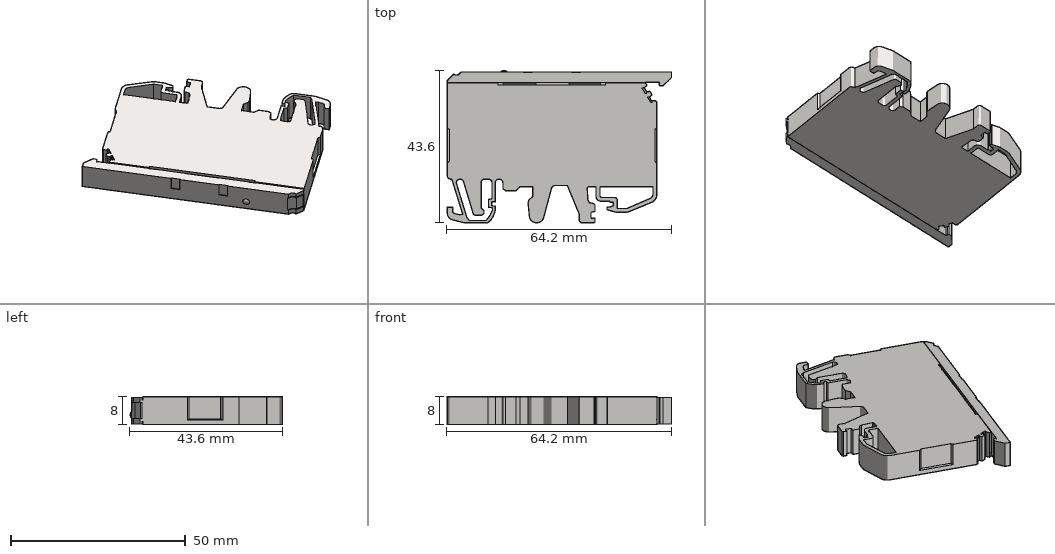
import cadquery as cq


body_length = 60.0
body_width = 8.0
body_top = 40.0
latch_start = 56.8
web_top = 12.5
window_top = 10.35
rail_top = 10.7

cover_length = 64.18
cover_bottom = 40.2
cover_top = 43.2
cover_inset = 0.2
seam_depth = 0.9

overall_height = 43.62
button_x = 16.3
button_z = 2.85
button_radius = 1.0


def draw(start, *steps):
    """Closed outline; a step is a point, or a (middle, end) pair of points for an arc."""
    outline = cq.Workplane("XY").moveTo(*start)
    for step in steps:
        if isinstance(step[0], tuple):
            outline = outline.threePointArc(*step)
        else:
            outline = outline.lineTo(*step)
    return outline.close()


def prism(outline, z_low, z_high):
    """Extrude an outline between two heights."""
    return outline.extrude(z_high - z_low).translate((0, 0, z_low))


def block(x_low, x_high, y_low, y_high, z_low, z_high):
    """Axis-aligned box given by its limits."""
    size = (x_high - x_low, y_high - y_low, z_high - z_low)
    return cq.Workplane("XY").box(*size, centered=False).translate((x_low, y_low, z_low))


def make_body():
    """Full-width body outline, followed counter-clockwise from the upper left corner."""
    left_hook = [
        (0, 13.55), ((0.31, 12.81), (1.05, web_top)), (1.3, web_top),
        (4.4, 2.5), (3.6, 2.4), (2.3, 2.65), (1.65, 3.0), (1.6, 4.4), (1.45, 4.55),
        (0, 4.55), (0, 2.8), ((0.46, 1.56), (1.6, 0.85)), (4.9, 0), (11.35, 0),
        (11.72, 0.08), ((12.95, 1.5), (13.75, 3.5)),
        (13.75, 4.85), (12.75, 4.95), (12.75, 6.0), (13.75, 6.0),
    ]
    middle_slot_and_pad = [
        (13.75, 11.4), ((14.82, web_top), (15.9, 11.4)), (15.9, 9.75),
        (16.75, 9.2), (19.65, 9.2), (20.85, window_top), (24.45, window_top),
    ]
    round_leg = [
        (24.45, 7.6), (23.3, 6.5), (23.1, 5.7), (23.5, 1.7),
        ((25.6, 0.01), (27.6, 1.4)), (29.9, 10.0), ((30.3, 10.5), (31.0, rail_top)),
    ]
    notched_leg = [
        (34.35, rail_top), (37.75, 2.5), (37.75, 0.8), ((38.0, 0.25), (38.65, 0)),
        (41.95, 0), (42.3, 0.3),
        (42.3, 1.35), (41.15, 1.35), (41.15, 3.05), (42.3, 3.25), (42.3, 5.15),
        (41.85, 5.6), (40.7, 5.85), (40.3, 6.5), (40.1, 10.0), (40.4, window_top),
    ]
    right_hook = [
        (42.55, window_top), (42.55, 7.6), ((42.95, 6.65), (44.1, 6.2)), (46.5, 6.2),
        (46.55, 5.85), (47.5, 5.95), (47.5, 5.0), (47.1, 4.75), (45.7, 4.5), (45.7, 3.85),
        (45.9, 3.7), (48.4, 3.0), (50.9, 3.0), ((51.5, 3.06), (52.05, 3.2)), (58.3, 5.8),
        ((59.52, 6.68), (body_length, 8.1)),
    ]
    latch_corner = [
        (body_length, 34.6), (59.6, 35.0), (58.4, 35.0), (57.95, 36.0), (58.6, 36.65),
        (58.2, 37.4), (57.9, 37.75), (57.55, 37.55), (57.05, 37.6), (56.4, 38.65),
        (57.2, 39.35), (latch_start, body_top),
    ]
    steps = left_hook + middle_slot_and_pad + round_leg + notched_leg + right_hook + latch_corner
    return prism(draw((0, body_top), *steps), 0, body_width)


def left_foot_window():
    """Opening behind the spring arm of the left foot, around its central tongue."""
    return draw(
        (2.65, 11.45), ((3.6, web_top), (4.65, 11.8)),
        (7.4, 2.7), ((7.65, 2.3), (8.05, 2.15)), (9.5, 2.15), ((10.2, 2.4), (10.6, 2.95)),
        (10.6, 3.4), (9.75, 4.35), (9.75, 11.55), ((10.0, 12.25), (10.7, web_top)),
        (11.9, web_top), ((12.5, 12.25), (12.75, 11.8)), (12.75, 6.95), (11.75, 6.75),
        (11.75, 4.5), (12.9, 4.3), (12.9, 3.6), (12.1, 2.0), (11.15, 0.77), (6.3, 0.77), (5.65, 1.6),
    )


def right_foot_window():
    """Opening enclosed by the wall of the right foot."""
    return draw(
        (43.75, window_top), (58.85, window_top), (58.85, 8.1), ((58.6, 7.5), (57.85, 6.95)),
        (51.35, 4.15), (48.7, 4.15), (48.7, 6.6), ((48.4, 7.1), (47.8, 7.35)),
        (44.05, 7.35), (43.75, 7.65),
    )


def side_recess():
    """Tapered recess in the -X end, open towards +Z."""
    depth = 0.6
    outer_low, outer_high = 17.1, 27.2
    inner_low, inner_high = 17.7, 26.8
    outer_floor = 1.4
    inner_floor = 1.6
    mouth = [
        (outer_low, outer_floor), (outer_high, outer_floor),
        (outer_high, body_width), (outer_low, body_width),
    ]
    back = [
        (inner_low, inner_floor), (inner_high, inner_floor),
        (inner_high, body_width), (inner_low, body_width),
    ]
    sections = cq.Workplane("YZ").polyline(mouth).close()
    sections = sections.workplane(offset=depth).polyline(back).close()
    return sections.loft(ruled=True)


def latch_notch(x, y):
    """Slanted step in the +Z face at the latch corner, with its upper end at (x, y)."""
    depth = 0.5
    outline = draw((x, y), (x + 0.95, y - 1.6), (x + 1.3, y - 1.6), (x + 1.3, y - 0.9), (x + 0.6, y + 0.05))
    return prism(outline, body_width - depth, body_width)


def cover_pocket():
    """Narrow pocket along the cover seam whose floor drops steeply in two spans."""
    y_low = 39.5
    ledge_z = body_width - seam_depth
    drop = 2.0
    pocket = block(14.5, 45.3, y_low, body_top, ledge_z, body_width)
    for x_low, x_high in ((16.0, 25.4), (34.8, 43.9)):
        wedge = (
            cq.Workplane("YZ", origin=(x_low, 0, 0))
            .polyline([(y_low, ledge_z), (body_top, ledge_z), (y_low, ledge_z - drop)])
            .close()
            .extrude(x_high - x_low)
        )
        pocket = pocket.union(wedge)
    return pocket


def cover_end_edge(setback):
    """Sloping, grooved -X end of the cover from bottom to top, set back into the cover."""
    groove_middle = (2.65, 42.35 - setback)
    groove_end = (3.4, 42.65 - setback)
    return [
        (setback, cover_bottom), (setback, 40.8 - setback), (1.85, 42.65 - 2 * setback),
        (groove_middle, groove_end), (3.95 + setback, cover_top),
    ]


def make_cover():
    """Cover strip with a latch nose overhanging the +X end of the body."""
    latch_end = [
        (cover_length, cover_top), (cover_length, 41.6), (61.8, 39.25), (60.9, 39.25),
        (60.6, 39.5), (60.6, cover_bottom),
    ]
    edge = cover_end_edge(0)
    outline = draw(edge[0], *edge[1:], *latch_end)
    return prism(outline, cover_inset, body_width - cover_inset)


def seam_web():
    """Recessed web that joins the cover to the body."""
    return block(0, latch_start, body_top, cover_bottom, seam_depth, body_width - seam_depth)


def cover_end_recess():
    """Shallow recess in the middle of the sloping -X end of the cover."""
    z_low, z_high = 1.8, 6.3
    depth = 0.2
    outline = draw((0, cover_bottom), *cover_end_edge(depth), (0, cover_top))
    return prism(outline, z_low, z_high)


def label_notch(x_low):
    """Shallow notch in the upper edge of the cover, open towards +Z."""
    length = 2.5
    depth = 0.2
    z_floor = body_width / 2
    return block(x_low, x_low + length, cover_top - depth, cover_top, z_floor, body_width)


def button():
    """Domed button on the +Y face of the cover."""
    height = overall_height - cover_top
    sphere_radius = (button_radius**2 + height**2) / (2 * height)
    half_section = cq.Workplane("XY").lineTo(button_radius, 0)
    half_section = half_section.radiusArc((0, height), -sphere_radius).close()
    dome = half_section.revolve(360, (0, 0, 0), (0, 1, 0))
    return dome.translate((button_x, cover_top, button_z))


body = make_body()
for window in (left_foot_window(), right_foot_window()):
    body = body.cut(prism(window, 0, body_width))

recess = side_recess()
body = body.cut(recess)
body = body.cut(recess.mirror("YZ").translate((body_length, 0, 0)))
for notch_x, notch_y in ((55.7, 38.65), (57.3, 36.05)):
    body = body.cut(latch_notch(notch_x, notch_y))
body = body.cut(cover_pocket())

cover = make_cover().cut(cover_end_recess())
for notch_start in (21.8, 35.7):
    cover = cover.cut(label_notch(notch_start))

result = body.union(seam_web()).union(cover).union(button())